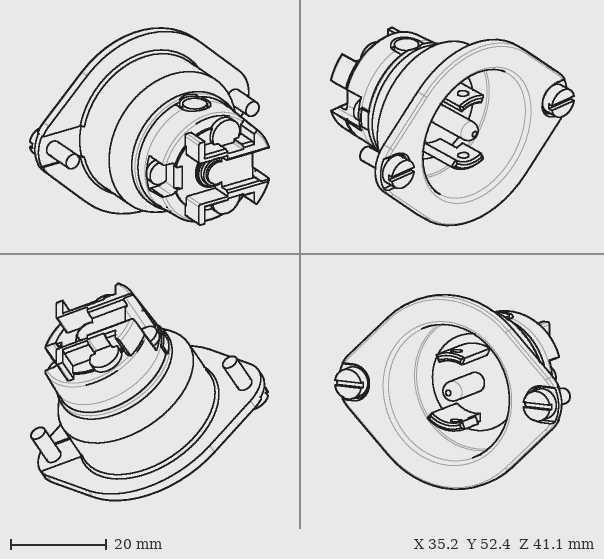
import cadquery as cq
import math


flange_length = 52.35
flange_height = 41.1
flange_radius = flange_height / 2
flange_tip_radius = 7.85
flange_thickness = 2.45
flange_edge_fillet = 0.5
cup_radius = 15.85
cup_end = 13.3
cone_end = 17.85
lip_radius = 13.2
lip_end = 19.45
lip_fillet = 0.4
bore_radius = 14.5
bore_depth = 12.45
bore_mouth_fillet = 0.85
bore_floor_fillet = 0.3
root_radius = 16.4
root_end = 3.25
back_slot_floor = 2.1
back_slot_width = 7.1

screw_offset = 22.45
screw_head_diameter = 6.35
screw_shank_diameter = 3.3
screw_front = -2.15
screw_end = 9.55
screw_slot_width = 1.1
screw_slot_depth = 1.0
recess_floor = 0.75
recess_radius = 3.55
recess_mouth_radius = 3.95

key_radius = 13.1
key_width = 4.3
key_end = 21.85
key_chamfer = 0.3

insert_face_diameter = 20.65
cup_floor_thickness = 0.8
insert_shoulder = bore_depth + cup_floor_thickness
insert_radius = 12.65
taper_start = 21.95
rear_face = 27.8
rear_face_radius = 12.35
tail_end = 33.05
rear_fillet = 0.6
taper_slope = (insert_radius - rear_face_radius) / (rear_face - taper_start)
tail_end_radius = insert_radius - taper_slope * (tail_end - taper_start)

tail_half_height = 9.6
rib_front = -6.35
rib_back = -4.8
rib_fillet = 0.45
wall_front = 7.55
wall_flare_start = 8.0
shelf_height = 6.0
well_half_height = 4.75
shelf_bevel_length = 0.85
shelf_bevel_depth = 0.4
channel_floor = 5.25
channel_start = 0.9
channel_end = 4.9
channel_fillet = 0.3
slot_half_height = 3.5
slot_floor = 30.7
slot_chamfer = 0.45
web_front = channel_start

side_notch_start = 22.75
side_notch_floor = 8.65
side_notch_flat = 2.55
side_notch_half_width = 3.65
side_notch_flare_start = 11.6
side_notch_bevel = 0.8
side_screw_diameter = 5.1
side_screw_offset = 10.2
side_screw_end = 24.2

top_screw_x = 21.85
top_screw_diameter = 5.1
top_screw_height = 12.5
top_pocket_diameter = 6.6
top_pocket_floor = 10.9

disc_radius = 9.4
disc_end = 28.3
rivet_washer_diameter = 8.05
rivet_washer_end = 28.6
rivet_collar_diameter = 7.55
rivet_collar_end = 29.05
rivet_head_diameter = 6.35
rivet_head_end = 30.05
rivet_tip_diameter = 5.1
rivet_end = slot_floor
terminal_diameter = 6.75
terminal_y = 3.0
terminal_z = 7.5
terminal_end = 29.3

pin_diameter = 4.2
pin_front = 0.5
pin_tip_diameter = 1.2
blade_inner_radius = 6.65
blade_outer_radius = 8.35
blade_half_angle = 24.2
hook_blade_angle = 42.0
blade_front = 1.05
blade_bevel = 0.45
blade_hole_diameter = 2.35
blade_hole_x = 4.1
hook_end = 7.35
neck_edge = -1.05
contact_embed = 2.6
contact_root = bore_depth + contact_embed

clear = 31.4


def box(x_range, y_range, z_range):
    """Axis-aligned block between pairs of limits."""
    sizes = [high - low for low, high in (x_range, y_range, z_range)]
    corner = (x_range[0], y_range[0], z_range[0])
    return cq.Workplane("XY").box(*sizes, centered=False).translate(corner)


def rod(diameter, start, end, y=0.0, z=0.0):
    """Cylinder along X."""
    plane = cq.Workplane("YZ", origin=(start, y, z))
    return plane.circle(diameter / 2).extrude(end - start)


def turned(points):
    """Revolve an outline of (x, radius) points about the X axis."""
    return cq.Workplane("XY").polyline(points).close().revolve(360, (0, 0, 0), (1, 0, 0))


def make_flange():
    """Two large arcs and two tip arcs joined by tangent lines."""
    tip_centre = flange_length / 2 - flange_tip_radius
    tangent = math.acos((flange_radius - flange_tip_radius) / tip_centre)
    cos_t = math.cos(tangent)
    sin_t = math.sin(tangent)
    big = (flange_radius * cos_t, flange_radius * sin_t)
    tip = (tip_centre + flange_tip_radius * cos_t, flange_tip_radius * sin_t)
    outline = (
        cq.Workplane("YZ")
        .moveTo(-big[0], big[1])
        .threePointArc((0, flange_radius), big)
        .lineTo(*tip)
        .threePointArc((flange_length / 2, 0), (tip[0], -tip[1]))
        .lineTo(big[0], -big[1])
        .threePointArc((0, -flange_radius), (-big[0], -big[1]))
        .lineTo(-tip[0], -tip[1])
        .threePointArc((-flange_length / 2, 0), (-tip[0], tip[1]))
        .close()
    )
    return outline.extrude(flange_thickness).faces("<X").edges().fillet(flange_edge_fillet)


def screw_recess(side):
    """Open-ended recess with sloping walls at one tip of the flange."""
    slope = math.degrees(math.atan((recess_mouth_radius - recess_radius) / recess_floor))
    outer = screw_offset + clear
    recess = (
        cq.Workplane("YZ")
        .center((screw_offset + outer) / 2, 0)
        .slot2D(outer - screw_offset + 2 * recess_mouth_radius, 2 * recess_mouth_radius)
        .extrude(recess_floor, taper=slope)
    )
    return recess if side > 0 else recess.mirror("XZ")


def make_mounting_screw(side):
    """Slotted cheese-head screw, fused into the flange."""
    y = side * screw_offset
    head = rod(screw_head_diameter, screw_front, recess_floor, y)
    shank = rod(screw_shank_diameter, recess_floor, screw_end, y)
    half_slot = screw_slot_width / 2
    driver_slot = box(
        (screw_front, screw_front + screw_slot_depth),
        (y - screw_head_diameter, y + screw_head_diameter),
        (-half_slot, half_slot),
    )
    return head.union(shank).cut(driver_slot)


def insert_profile():
    """Turned envelope of the insert, up to its rear face."""
    face_radius = insert_face_diameter / 2
    return turned([
        (bore_depth, 0),
        (bore_depth, face_radius),
        (insert_shoulder, face_radius),
        (insert_shoulder, insert_radius),
        (taper_start, insert_radius),
        (rear_face, rear_face_radius),
        (rear_face, 0),
    ])


def top_pocket():
    """Radial pocket around the top screw, open towards the lip."""
    half_width = top_pocket_diameter / 2
    round_end = (
        cq.Workplane("XY", origin=(top_screw_x, 0, top_pocket_floor))
        .circle(half_width)
        .extrude(clear)
    )
    mouth = box(
        (lip_end, top_screw_x),
        (-half_width, half_width),
        (top_pocket_floor, top_pocket_floor + clear),
    )
    return round_end.union(mouth)


def make_key():
    """Sector on the +Y side of the lip; with the core cut out, it is a key along the insert."""
    disc = rod(2 * key_radius, cone_end, key_end).faces(">X").chamfer(key_chamfer)
    return disc.intersect(box((cone_end, key_end), (0, clear), (-key_width / 2, key_width / 2)))


def make_bore():
    """Cup cavity with a rounded mouth and a rounded floor corner."""
    mouth_bend = bore_mouth_fillet * math.sqrt(0.5)
    floor_bend = bore_floor_fillet * (1 - math.sqrt(0.5))
    mouth_radius = bore_radius + bore_mouth_fillet
    return (
        cq.Workplane("XY")
        .lineTo(0, mouth_radius)
        .threePointArc(
            (bore_mouth_fillet - mouth_bend, mouth_radius - mouth_bend),
            (bore_mouth_fillet, bore_radius),
        )
        .lineTo(bore_depth - bore_floor_fillet, bore_radius)
        .threePointArc(
            (bore_depth - floor_bend, bore_radius - floor_bend),
            (bore_depth, bore_radius - bore_floor_fillet),
        )
        .lineTo(bore_depth, 0)
        .close()
        .revolve(360, (0, 0, 0), (1, 0, 0))
    )


def make_shell():
    """Body 1: flange and cup with the two mounting screws."""
    root = turned([
        (flange_thickness, 0),
        (flange_thickness, root_radius),
        (root_end, cup_radius),
        (root_end, 0),
    ])
    half_slot = back_slot_width / 2
    back_slot = box((back_slot_floor, root_end), (-clear, 0), (-half_slot, half_slot))
    flange = make_flange().union(root).cut(back_slot)
    cup = turned([
        (0, 0),
        (0, cup_radius),
        (cup_end, cup_radius),
        (cone_end, lip_radius),
        (lip_end, lip_radius),
        (lip_end, 0),
    ]).faces(">X").edges().fillet(lip_fillet)
    shell = flange.union(cup).union(make_key())
    shell = shell.cut(make_bore()).cut(insert_profile()).cut(top_pocket())
    for side in (-1, 1):
        shell = shell.cut(screw_recess(side)).union(make_mounting_screw(side))
    return shell


def side_notch():
    """Terminal notch on the +Y side, with rounded corners and a flared mouth."""
    corner = side_notch_half_width - side_notch_flat
    bend = corner * (1 - math.sqrt(0.5))
    arc_end = side_notch_floor + corner
    flare = clear - side_notch_flare_start
    mouth = side_notch_half_width + flare
    return (
        cq.Workplane("YZ", origin=(side_notch_start, 0, 0))
        .moveTo(side_notch_floor, -side_notch_flat)
        .lineTo(side_notch_floor, side_notch_flat)
        .threePointArc(
            (side_notch_floor + bend, side_notch_half_width - bend),
            (arc_end, side_notch_half_width),
        )
        .lineTo(side_notch_flare_start, side_notch_half_width)
        .lineTo(clear, mouth)
        .lineTo(clear, -mouth)
        .lineTo(side_notch_flare_start, -side_notch_half_width)
        .lineTo(arc_end, -side_notch_half_width)
        .threePointArc(
            (side_notch_floor + bend, -side_notch_half_width + bend),
            (side_notch_floor, -side_notch_flat),
        )
        .close()
        .extrude(tail_end - side_notch_start)
    )


def terminal_recess():
    """Space above one shelf: bevelled shelf edge, flared outer wall and a wire channel."""
    bevel_start = tail_end - shelf_bevel_length
    side_profile = (
        cq.Workplane("XZ", origin=(0, clear, 0))
        .polyline([
            (rear_face, shelf_height),
            (bevel_start, shelf_height),
            (tail_end, shelf_height - shelf_bevel_depth),
            (tail_end, clear),
            (rear_face, clear),
        ])
        .close()
        .extrude(2 * clear)
    )
    flare = clear - wall_flare_start
    end_profile = (
        cq.Workplane("YZ", origin=(rear_face, 0, 0))
        .polyline([
            (rib_back, 0),
            (wall_front, 0),
            (wall_front, wall_flare_start),
            (wall_front + flare, clear),
            (rib_back, clear),
        ])
        .close()
        .extrude(tail_end - rear_face)
    )
    channel = box((rear_face, tail_end), (channel_start, channel_end), (channel_floor, clear))
    channel = channel.edges("|X").fillet(channel_fillet)
    return side_profile.intersect(end_profile).union(channel)


def make_tail():
    """Rear terminal block: outer wall, two shelves and two ribs around a central well."""
    tail = turned([
        (rear_face, 0),
        (rear_face, rear_face_radius),
        (tail_end, tail_end_radius),
        (tail_end, 0),
    ]).faces(">X").edges().fillet(rear_fillet)
    length = (rear_face, tail_end)
    height = (-tail_half_height, tail_half_height)
    tail = tail.intersect(box(length, (rib_back, clear), height))
    recess = terminal_recess()
    tail = tail.cut(recess).cut(recess.mirror("XY"))
    for z_range in ((well_half_height, tail_half_height), (-tail_half_height, -well_half_height)):
        rib = box(length, (rib_front, rib_back), z_range)
        tail = tail.union(rib.edges("|X").edges("<Y").fillet(rib_fillet))
    tail = tail.cut(box(length, (-clear, web_front), (-well_half_height, well_half_height)))
    chamfer_start = tail_end - slot_chamfer
    mouth = slot_half_height + slot_chamfer
    slot = (
        cq.Workplane("XZ")
        .polyline([
            (slot_floor, -slot_half_height),
            (chamfer_start, -slot_half_height),
            (tail_end, -mouth),
            (tail_end, mouth),
            (chamfer_start, slot_half_height),
            (slot_floor, slot_half_height),
        ])
        .close()
        .extrude(clear, both=True)
    )
    return tail.cut(slot)


def notch_bevel():
    """Bevel where the floor of the -Y notch meets the rear of the insert."""
    start = rear_face - side_notch_bevel
    depth = disc_end - start
    return (
        cq.Workplane("XY", origin=(0, 0, -side_notch_flat))
        .polyline([
            (start, -side_notch_floor),
            (disc_end, depth - side_notch_floor),
            (disc_end, -side_notch_floor),
        ])
        .close()
        .extrude(2 * side_notch_flat)
    )


def make_rivet():
    """Stepped rear end of the ground pin, standing on a round plate."""
    return (
        rod(2 * disc_radius, rear_face, disc_end)
        .union(rod(rivet_washer_diameter, disc_end, rivet_washer_end))
        .union(rod(rivet_collar_diameter, rivet_washer_end, rivet_collar_end))
        .union(rod(rivet_head_diameter, rivet_collar_end, rivet_head_end))
        .union(rod(rivet_tip_diameter, rivet_head_end, rivet_end))
    )


def make_pin():
    """Round ground pin with a domed tip ending in a small flat."""
    radius = pin_diameter / 2
    flat = pin_tip_diameter / 2
    dome_end = pin_front + math.sqrt(radius**2 - flat**2)
    bend = radius * math.sqrt(0.5)
    return (
        cq.Workplane("XY")
        .moveTo(pin_front, 0)
        .lineTo(pin_front, flat)
        .threePointArc((dome_end - bend, bend), (dome_end, radius))
        .lineTo(contact_root, radius)
        .lineTo(contact_root, 0)
        .close()
        .revolve(360, (0, 0, 0), (1, 0, 0))
    )


def make_blade(left_angle, right_angle):
    """Curved blade above the pin; angles lean towards +Y and -Y from vertical."""
    def point(radius, angle):
        turn = math.radians(angle)
        return (radius * math.sin(turn), radius * math.cos(turn))

    middle = (left_angle - right_angle) / 2
    blade = (
        cq.Workplane("YZ", origin=(blade_front, 0, 0))
        .moveTo(*point(blade_outer_radius, -right_angle))
        .threePointArc(point(blade_outer_radius, middle), point(blade_outer_radius, left_angle))
        .lineTo(*point(blade_inner_radius, left_angle))
        .threePointArc(point(blade_inner_radius, middle), point(blade_inner_radius, -right_angle))
        .close()
        .extrude(contact_root - blade_front)
        .faces("<X").edges().chamfer(blade_bevel)
    )
    hole = cq.Workplane("XY").center(blade_hole_x, 0).circle(blade_hole_diameter / 2).extrude(clear)
    return blade.cut(hole)


def make_hook_blade():
    """Wide lower blade whose narrow neck leaves a locking hook on the -Y side."""
    blade = make_blade(hook_blade_angle, blade_half_angle).mirror("XY")
    return blade.cut(box((hook_end, bore_depth), (-clear, neck_edge), (-clear, 0)))


def make_insert():
    """Body 2: core with its terminals, pin and blades."""
    insert = insert_profile().faces(">X").edges().fillet(rear_fillet)
    insert = insert.union(make_tail()).union(make_rivet())
    notch = side_notch()
    insert = insert.cut(notch).cut(notch.mirror("XZ")).cut(notch_bevel())
    for side in (-1, 1):
        side_screw = rod(side_screw_diameter, side_notch_start, side_screw_end, side * side_screw_offset)
        terminal = rod(terminal_diameter, rear_face, terminal_end, terminal_y, side * terminal_z)
        insert = insert.union(side_screw).union(terminal)
    top_screw = (
        cq.Workplane("XY", origin=(top_screw_x, 0, top_pocket_floor))
        .circle(top_screw_diameter / 2)
        .extrude(top_screw_height - top_pocket_floor)
    )
    insert = insert.cut(top_pocket()).union(top_screw)
    contacts = (make_pin(), make_blade(blade_half_angle, blade_half_angle), make_hook_blade())
    for contact in contacts:
        insert = insert.union(contact)
    return insert


shell = make_shell()
insert = make_insert()

result = cq.Compound.makeCompound([shell.solids().val(), insert.solids().val()])